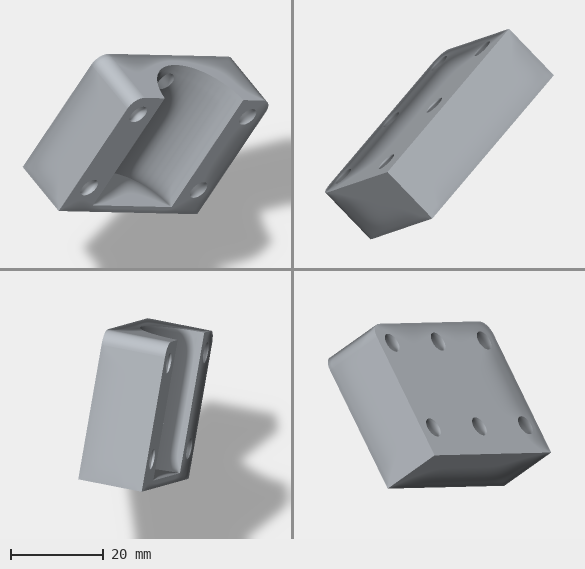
import cadquery as cq

block_thickness = 14.2875
block_length = 44.45
block_height = 32.80
corner_radius = 3.175
tilt_angle = 36.66

hole_diameter = 4.5
holes_per_row = 3
hole_pitch = 17.52
row_spacing = 21.15
upper_row_inset = 4.7625

seat_radius = 12.7
seat_axis_offset = 1.5875
seat_floor = 1.85


def make_block():
    block = cq.Workplane("XY").box(
        block_thickness, block_length, block_height, centered=(True, True, False)
    )
    return block.edges("|X and >Z").fillet(corner_radius)


def make_holes():
    upper_row = block_height - upper_row_inset
    end_offset = hole_pitch * (holes_per_row - 1) / 2
    points = []
    for row_height in (upper_row, upper_row - row_spacing):
        for index in range(holes_per_row):
            points.append((index * hole_pitch - end_offset, row_height))
    plane = cq.Workplane("YZ").workplane(offset=-block_thickness / 2)
    return plane.pushPoints(points).circle(hole_diameter / 2).extrude(block_thickness)


def make_seat():
    return (
        cq.Workplane("XY", origin=(block_thickness / 2 + seat_axis_offset, 0, seat_floor))
        .circle(seat_radius)
        .extrude(block_height - seat_floor)
    )


level_part = make_block().cut(make_holes()).cut(make_seat())
result = level_part.rotate((0, 0, 0), (1, 0, 0), -tilt_angle)